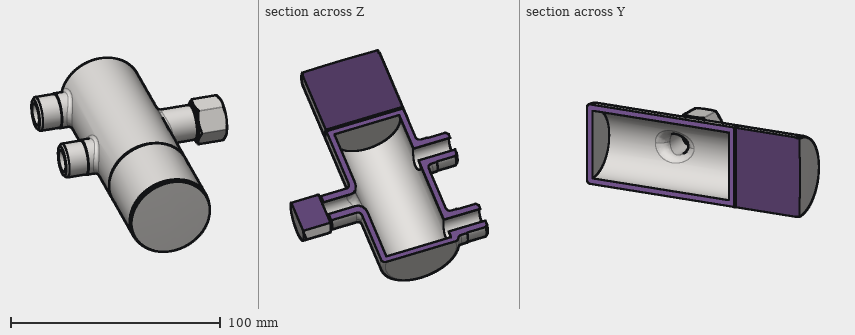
import cadquery as cq
import math

BODY_RADIUS = 20.0
BODY_LENGTH = 80.0
END_FILLET = 2.0
WALL = 3.2

ROOT_FILLET = 2.0

PORT_XS = (10.0, 53.0)
PORT_REACH = 35.0
PORT_RADIUS = 8.25
PORT_CHAMFER = 1.2
COLLAR_RADIUS = 8.5
COLLAR_REACH = 24.5
COLLAR_CHAMFER = COLLAR_RADIUS - PORT_RADIUS

PIPE_X = 38.6
PIPE_RADIUS = 8.5
PIPE_REACH = 34.4
PIPE_CHAMFER = 0.3

BORE_RADIUS = PIPE_RADIUS - WALL

NUT_ACROSS_FLATS = 19.0
NUT_START = 35.0
NUT_LENGTH = 14.0
NUT_FACE_RADIUS = 9.3
NUT_CHAMFER_ANGLE = 30.0
NUT_EDGE_FILLET = 0.3

KNOB_LENGTH = 35.0
KNOB_SHOULDER = 113.6
KNOB_RIM = 115.3
KNOB_END = 115.64
KNOB_START = KNOB_END - KNOB_LENGTH
KNOB_RIM_RADIUS = 19.7
KNOB_RIM_CHAMFER = 0.2


def cylinder_along_y(x, start, end, radius):
    """Round bar on the horizontal centre plane, from Y = start to Y = end."""
    axis = cq.Vector(0, math.copysign(1, end - start), 0)
    return cq.Workplane(cq.Solid.makeCylinder(radius, abs(end - start), cq.Vector(x, start, 0), axis))


def make_body():
    """Body with its two ports and outlet pipe, hollowed by the water passages."""
    shell = cq.Workplane("YZ").circle(BODY_RADIUS).extrude(BODY_LENGTH)
    shell = shell.faces("<X").edges().fillet(END_FILLET)
    for x in PORT_XS:
        collar = cylinder_along_y(x, 0, -COLLAR_REACH, COLLAR_RADIUS)
        shell = shell.union(collar.faces("<Y").edges().chamfer(COLLAR_CHAMFER))
    shell = shell.union(cylinder_along_y(PIPE_X, 0, PIPE_REACH, PIPE_RADIUS))
    shell = shell.edges("%BSPLINE").fillet(ROOT_FILLET)
    shell = shell.faces(">Y").edges().chamfer(PIPE_CHAMFER)

    for x in PORT_XS:
        nozzle = cylinder_along_y(x, 0, -PORT_REACH, PORT_RADIUS)
        shell = shell.union(nozzle.faces("<Y").edges().chamfer(PORT_CHAMFER))
    return shell.cut(make_cavity())


def make_cavity():
    """Water space inside the body, reached by the three bores."""
    chamber_length = BODY_LENGTH - 2 * WALL
    cavity = cq.Workplane("YZ", origin=(WALL, 0, 0)).circle(BODY_RADIUS - WALL).extrude(chamber_length)
    cavity = cavity.union(cylinder_along_y(PIPE_X, 0, PIPE_REACH, BORE_RADIUS))
    cavity = cavity.edges("%BSPLINE").fillet(ROOT_FILLET + WALL)
    for x in PORT_XS:
        cavity = cavity.union(cylinder_along_y(x, 0, -PORT_REACH, BORE_RADIUS))
    return cavity


def make_nut():
    """Hexagon with two flats facing up and down, its corners turned off at both ends."""
    corner_radius = NUT_ACROSS_FLATS / 2 / math.cos(math.pi / 6)
    drop = (corner_radius - NUT_FACE_RADIUS) * math.tan(math.radians(NUT_CHAMFER_ANGLE))
    end = NUT_START + NUT_LENGTH
    hexagon = (
        cq.Workplane("XZ", origin=(PIPE_X, NUT_START, 0))
        .polygon(6, 2 * corner_radius)
        .extrude(-NUT_LENGTH)
        .edges("|Y")
        .fillet(NUT_EDGE_FILLET)
    )
    envelope = (
        cq.Workplane("XY", origin=(PIPE_X, 0, 0))
        .moveTo(0, NUT_START)
        .lineTo(NUT_FACE_RADIUS, NUT_START)
        .lineTo(corner_radius, NUT_START + drop)
        .lineTo(corner_radius, end - drop)
        .lineTo(NUT_FACE_RADIUS, end)
        .lineTo(0, end)
        .close()
        .revolve(360, (0, 0, 0), (0, 1, 0))
    )
    return hexagon.intersect(envelope)


def make_knob():
    """Round knob with a slightly reduced rim and a shallow domed end."""
    dome_sag = KNOB_END - KNOB_RIM
    dome_edge_radius = KNOB_RIM_RADIUS - KNOB_RIM_CHAMFER
    dome_radius = (dome_edge_radius**2 + dome_sag**2) / (2 * dome_sag)
    mid_angle = math.asin(dome_edge_radius / dome_radius) / 2
    dome_centre = KNOB_END - dome_radius
    dome_mid = (dome_centre + dome_radius * math.cos(mid_angle), dome_radius * math.sin(mid_angle))
    return (
        cq.Workplane("XY")
        .moveTo(KNOB_START, 0)
        .lineTo(KNOB_START, BODY_RADIUS)
        .lineTo(KNOB_SHOULDER, BODY_RADIUS)
        .lineTo(KNOB_SHOULDER, KNOB_RIM_RADIUS)
        .lineTo(KNOB_RIM - KNOB_RIM_CHAMFER, KNOB_RIM_RADIUS)
        .lineTo(KNOB_RIM, dome_edge_radius)
        .threePointArc(dome_mid, (KNOB_END, 0))
        .close()
        .revolve(360, (0, 0, 0), (1, 0, 0))
    )


body = make_body()
nut = make_nut()
knob = make_knob()
result = cq.Compound.makeCompound([body.val(), nut.val(), knob.val()])